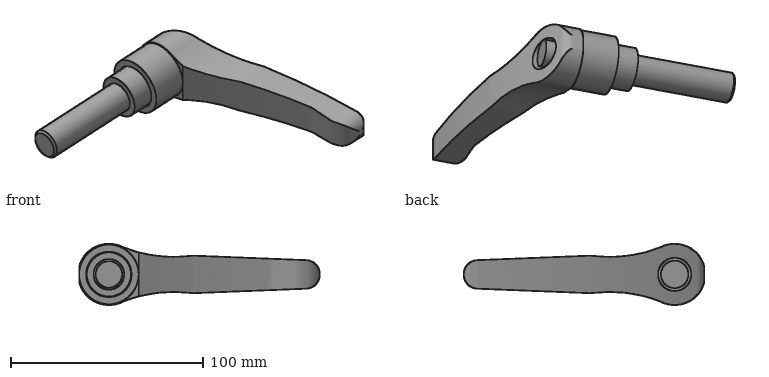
import cadquery as cq
import math


head_radius = 16.0
flat_x = -15.5

neck_start_x = 7.3
waist_x = 33.6
waist_half_width = 9.15
swell_x = 43.6
swell_fillet = 14.0
tip_radius = 7.5
tip_x = 109.91
grip_end_x = tip_x - tip_radius

back_top_y = 9.7
back_fillet = 6.5
upper_radius = 360.0
tip_y = 41.13
tip_top_fillet = 4.0
tip_nose_y = 36.9
lower_start_x = 15.5
lead_in_end = (19.6, 2.0)
lower_radius = 277.0
flat_y = 26.15
flat_start_x = 84.4
flat_end_x = 96.9
flat_fillet = 12.0
under_tip_radius = 11.7
facet_start = (101.4, 27.05)
facet_end = (102.7, 27.55)
nose_radius = 10.6

collar_diameter = 31.0
collar_length = 19.5
sleeve_diameter = 23.0
sleeve_length = 12.0
sleeve_bore_diameter = 23.7
sleeve_bore_depth = 10.0
stud_diameter = 16.0
stud_length = 55.0
stud_chamfer = 1.1

screw_bore_diameter = 17.3
screw_head_diameter = 14.3
screw_head_y = 17.6

collar_end_y = -collar_length
sleeve_end_y = collar_end_y - sleeve_length
stud_end_y = sleeve_end_y - stud_length


def cylinder(diameter, start_y, end_y):
    """Cylinder on the screw axis between two Y positions."""
    base = cq.Workplane("XZ", origin=(0, start_y, 0))
    return base.circle(diameter / 2).extrude(start_y - end_y)


def arc_middle(start, end, radius, side):
    """Middle of an arc; side is +1 to bulge left of the start-to-end direction, -1 right."""
    dx = end[0] - start[0]
    dy = end[1] - start[1]
    chord = math.hypot(dx, dy)
    sagitta = radius - math.sqrt(radius**2 - (chord / 2) ** 2)
    middle_x = (start[0] + end[0]) / 2 - side * sagitta * dy / chord
    middle_y = (start[1] + end[1]) / 2 + side * sagitta * dx / chord
    return (middle_x, middle_y)


def side_profile():
    """Curved side shape of the handle, as a plate wide enough to cover the head."""
    back_top = (flat_x, back_top_y)
    upper_end = (grip_end_x, tip_y)
    nose_start = (tip_x, tip_nose_y)
    flat_end = (flat_end_x, flat_y)
    flat_start = (flat_start_x, flat_y)
    plate = (
        cq.Workplane("XY", origin=(0, 0, -head_radius))
        .moveTo(flat_x, 0)
        .lineTo(*back_top)
        .threePointArc(arc_middle(back_top, upper_end, upper_radius, 1), upper_end)
        .lineTo(tip_x - tip_top_fillet, tip_y)
        .radiusArc((tip_x, tip_y - tip_top_fillet), tip_top_fillet)
        .lineTo(*nose_start)
        .threePointArc(arc_middle(nose_start, facet_end, nose_radius, 1), facet_end)
        .lineTo(*facet_start)
        .threePointArc(arc_middle(facet_start, flat_end, under_tip_radius, 1), flat_end)
        .lineTo(*flat_start)
        .threePointArc(arc_middle(flat_start, lead_in_end, lower_radius, -1), lead_in_end)
        .lineTo(lower_start_x, 0)
        .close()
        .extrude(2 * head_radius)
    )
    plate = plate.edges(cq.selectors.NearestToPointSelector((*back_top, 0))).fillet(back_fillet)
    return plate.edges(cq.selectors.NearestToPointSelector((*flat_start, 0))).fillet(flat_fillet)


def handle_outline():
    """Head circle, concave neck, tapered grip and round tip, as a tall block along Y."""
    neck_start = (neck_start_x, math.sqrt(head_radius**2 - neck_start_x**2))
    neck_run = waist_x - neck_start[0]
    neck_drop = neck_start[1] - waist_half_width
    neck_radius = (neck_run**2 + neck_drop**2) / (2 * neck_drop)
    neck_centre_z = waist_half_width + neck_radius
    swell_z = neck_centre_z - math.sqrt(neck_radius**2 - (swell_x - waist_x) ** 2)

    reach = math.hypot(grip_end_x - swell_x, swell_z)
    tangent_angle = math.acos(tip_radius / reach) + math.atan2(swell_z, grip_end_x - swell_x)
    tip_tangent_x = grip_end_x - tip_radius * math.cos(tangent_angle)
    tip_tangent_z = tip_radius * math.sin(tangent_angle)

    outline = (
        cq.Workplane("XZ")
        .moveTo(*neck_start)
        .threePointArc((waist_x, waist_half_width), (swell_x, swell_z))
        .lineTo(tip_tangent_x, tip_tangent_z)
        .threePointArc((tip_x, 0), (tip_tangent_x, -tip_tangent_z))
        .lineTo(swell_x, -swell_z)
        .threePointArc((waist_x, -waist_half_width), (neck_start[0], -neck_start[1]))
        .threePointArc((-head_radius, 0), neck_start)
        .close()
        .extrude(-tip_y)
    )
    for z in (swell_z, -swell_z):
        corner = cq.selectors.NearestToPointSelector((swell_x, tip_y / 2, z))
        outline = outline.edges(corner).fillet(swell_fillet)
    return outline


def handle():
    """Handle with its collar, bored from above for the screw and from below for the sleeve."""
    body = side_profile().intersect(handle_outline())
    body = body.union(cylinder(collar_diameter, 0, collar_end_y))
    body = body.cut(cylinder(screw_bore_diameter, tip_y, 0))
    sleeve_bore_end_y = collar_end_y + sleeve_bore_depth
    return body.cut(cylinder(sleeve_bore_diameter, sleeve_bore_end_y, collar_end_y))


def screw():
    """Screw head, sleeve and chamfered stud on one axis."""
    head = cylinder(screw_head_diameter, screw_head_y, collar_end_y)
    sleeve = cylinder(sleeve_diameter, collar_end_y + sleeve_bore_depth, sleeve_end_y)
    stud = cylinder(stud_diameter, sleeve_end_y, stud_end_y).faces("<Y").chamfer(stud_chamfer)
    return head.union(sleeve).union(stud)


result = handle().union(screw())